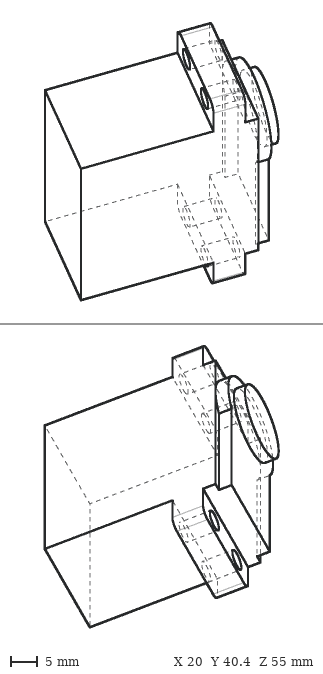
import cadquery as cq

width = 20.0
depth = 40.4
height = 55.0

case_height = 40.05
cover_thickness = 2.65
boss_length = 2.3
case_depth = depth - cover_thickness - boss_length

flange_front = 26.5
flange_thickness = 6.4
flange_corner_radius = 2.0
hole_diameter = 4.0
hole_spacing = width / 2
hole_end_distance = 3.5

cover_radius = width / 2
cover_tail_width = 17.0
boss_diameter = 15.0
shaft_height = case_height / 2 - cover_radius


def back_plane(y):
    """Workplane facing +Y; its local X runs along -X."""
    return cq.Workplane("XZ", origin=(0, y, 0)).transformed(rotate=(0, 180, 0))


def make_case():
    return back_plane(0).rect(width, case_height).extrude(case_depth)


def make_flange():
    """One through-plate that forms the ears at both ends of the case."""
    hole_height_spacing = height - 2 * hole_end_distance
    plate = back_plane(flange_front).rect(width, height).extrude(flange_thickness)
    plate = plate.edges("|Y").fillet(flange_corner_radius)
    holes = (
        back_plane(flange_front)
        .rect(hole_spacing, hole_height_spacing, forConstruction=True)
        .vertices()
        .circle(hole_diameter / 2)
        .extrude(flange_thickness)
    )
    return plate.cut(holes)


def make_cover():
    """Round head around the shaft with a narrower straight tail below it."""
    tail_length = shaft_height + case_height / 2
    head = back_plane(case_depth).center(0, shaft_height).circle(cover_radius).extrude(cover_thickness)
    tail = (
        back_plane(case_depth)
        .center(0, shaft_height - tail_length / 2)
        .rect(cover_tail_width, tail_length)
        .extrude(cover_thickness)
    )
    return head.union(tail)


def make_boss():
    return (
        back_plane(case_depth + cover_thickness)
        .center(0, shaft_height)
        .circle(boss_diameter / 2)
        .extrude(boss_length)
    )


result = make_case().union(make_flange()).union(make_cover()).union(make_boss())